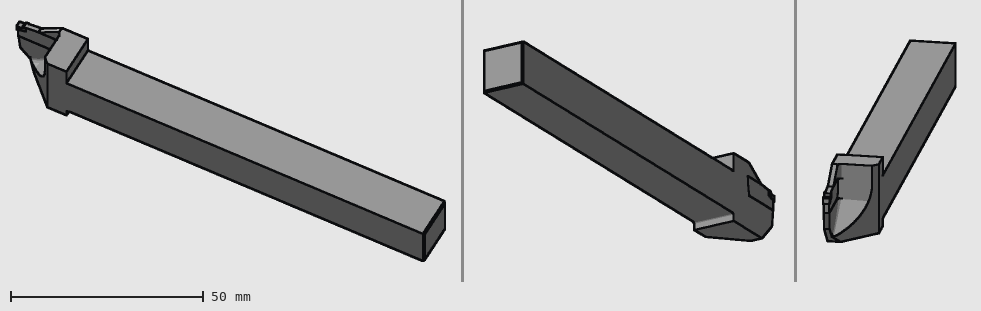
import cadquery as cq
import math

length = 125.0
depth = 12.0
head_height = 19.0
head_end = 20.1
nose_start = 14.5

shank_bottom = 2.1
shank_height = 11.9
shank_fillet = 0.8
end_chamfer = 0.4

blade_front = 10.5
blade_left = 0.5
blade_heel_left = 1.0
blade_heel_height = 5.1
bevel_end = 6.0
clamp_tip = 6.4
clamp_top = 12.5

pocket_wall = 13.0
pocket_radius = 12.8
pocket_arc_height = 13.9
pocket_fillet = 1.1
pocket_center = pocket_wall - pocket_radius

insert_bottom = 9.8
insert_top = 15.0
insert_foot_left = 0.4
tip_front = 10.4
tip_back = 12.1
tip_length = 2.8
tip_height = 13.9
tip_bottom = 12.4
tip_bottom_rise = 0.9
bump_start = 1.5
bump_full = 2.0
bump_height = 14.6
shoulder_start = 5.5


def prism(points, front, back):
    """Extrude a closed XZ outline from y = front to y = back."""
    return cq.Workplane("XZ", origin=(0, back, 0)).polyline(points).close().extrude(back - front)


def make_shank():
    shank = cq.Workplane("XY").box(length - nose_start, depth, shank_height, centered=False)
    shank = shank.faces(">X").chamfer(end_chamfer)
    return shank.translate((nose_start, 0, shank_bottom))


def make_head():
    outline = [
        (blade_left, insert_top),
        (blade_left, insert_bottom),
        (blade_heel_left, blade_heel_height),
        (bevel_end, 0),
        (head_end, 0),
        (head_end, head_height),
        (clamp_top, head_height),
        (clamp_tip, insert_top),
    ]
    return prism(outline, 0, depth)


def make_nose_cutter():
    """Triangular prism in front of the 45 degree nose face, up to the blade."""
    outline = [
        (nose_start, 0),
        (nose_start - blade_front, blade_front),
        (-blade_front, blade_front),
        (-blade_front, 0),
    ]
    return cq.Workplane("XY").polyline(outline).close().extrude(head_height)


def make_pocket():
    """Pocket volume in front of the blade, with a rounded floor edge."""
    arc_mid = pocket_radius * math.sqrt(0.5)
    pocket = (
        cq.Workplane("XZ", origin=(0, blade_front, 0))
        .moveTo(pocket_center, pocket_arc_height - pocket_radius)
        .threePointArc(
            (pocket_center + arc_mid, pocket_arc_height - arc_mid),
            (pocket_wall, pocket_arc_height),
        )
        .lineTo(pocket_wall, head_height)
        .lineTo(pocket_center - pocket_radius, head_height)
        .lineTo(pocket_center - pocket_radius, pocket_arc_height - pocket_radius)
        .close()
        .extrude(blade_front)
    )
    floor_point = (pocket_wall, blade_front, head_height - pocket_fillet)
    floor_edge = pocket.edges(cq.NearestToPointSelector(floor_point))
    return floor_edge.fillet(pocket_fillet)


def make_insert_seat():
    """Slot for the insert, deep enough to clear the rounded floor edge in front of it."""
    outline = [
        (0, insert_bottom),
        (pocket_wall, insert_bottom),
        (pocket_wall, insert_top),
        (0, insert_top),
    ]
    slot = prism(outline, blade_front - pocket_fillet, depth)
    return slot.intersect(make_pocket_envelope())


def make_pocket_envelope():
    """Region inside the pocket arc and wall, through the full depth."""
    disc = cq.Workplane("XZ", origin=(pocket_center, depth, pocket_arc_height))
    disc = disc.circle(pocket_radius).extrude(depth)
    wall_block = cq.Workplane("XY").box(
        pocket_radius, depth, insert_top - pocket_arc_height, centered=False
    )
    return disc.union(wall_block.translate((pocket_center, 0, pocket_arc_height)))


def make_holder():
    holder = make_head().union(make_shank())
    corner = cq.NearestToPointSelector((head_end, depth / 2, shank_bottom))
    holder = holder.edges("|Y").edges(corner).fillet(shank_fillet)
    return holder.cut(make_nose_cutter()).cut(make_pocket()).cut(make_insert_seat())


def make_insert():
    outline = [
        (insert_foot_left, insert_bottom),
        (insert_foot_left, tip_height),
        (bump_start, tip_height),
        (bump_full, bump_height),
        (tip_length, bump_height),
        (shoulder_start, insert_top),
        (pocket_wall, insert_top),
        (pocket_wall, insert_bottom),
    ]
    body = prism(outline, blade_front, depth).intersect(make_pocket_envelope())
    tip_outline = [
        (0, tip_bottom),
        (0, tip_height),
        (bump_start, tip_height),
        (bump_full, bump_height),
        (tip_length, bump_height),
        (tip_length, tip_bottom + tip_bottom_rise),
    ]
    return body.union(prism(tip_outline, tip_front, tip_back))


holder = make_holder()
insert = make_insert()
result = cq.Compound.makeCompound([holder.val(), insert.val()])